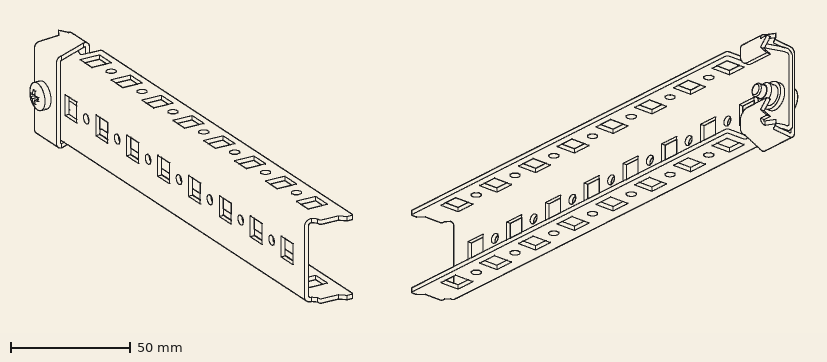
import cadquery as cq


total_length = 227.0
sheet = 2.0
clamp_half_height = 21.1
rail_half_height = clamp_half_height - sheet
rail_depth = 20.5

rail_left = 4.8
rail_web_right = 221.0
rail_bend = 3.2
rail_corner_radius = 1.0
flange_left = 23.2
flange_right = 224.5

hole_pitch = 25.0
square_count = 8
square_size = 9.5
round_diameter = 4.3
first_hole_x = 32.0
flange_hole_y = 12.3

clamp_left = 6.0
clamp_right = 23.8
clamp_bend = 2.5
lip_y = 18.5
lip_bottom = 10.5
lip_left = 4.0
lip_right = 17.0
lip_corner_radius = 4.5
lip_tooth_top = 18.6

screw_x = 13.6
shank_radius = 3.0
shank_end = 13.0
shank_chamfer = 0.7
head_radius = 6.1
head_rim_height = 3.0
head_gap = 0.2
head_height = 5.0
recess_length = 6.1
recess_width = 1.8
recess_depth = 2.7
washer_radius = 6.1
washer_thickness = 2.3
nut_radius = 4.5
nut_height = 3.6
nut_cone_height = 1.4


def bent_channel(left, right, back, front, half_height, bend):
    """C-shaped sheet with its web at Y = front and its flanges reaching Y = back."""
    outer = (
        cq.Workplane("XY")
        .box(right - left, back - front, 2 * half_height, centered=(False, False, True))
        .translate((left, front, 0))
        .edges("|X and <Y")
        .fillet(bend)
    )
    inner = (
        cq.Workplane("XY")
        .box(right - left, back - front, 2 * (half_height - sheet), centered=(False, False, True))
        .translate((left, front + sheet, 0))
        .edges("|X and <Y")
        .fillet(bend - sheet)
    )
    return outer.cut(inner)


def upright_prism(outline, half_height):
    """Outline in X and Y, extruded to both sides of Z = 0."""
    return cq.Workplane("XY").polyline(outline).close().extrude(half_height, both=True)


def disc(radius, start, height):
    """Cylinder around the screw axis that runs from Y = start toward +Y."""
    return cq.Workplane("XZ", origin=(screw_x, start, 0)).circle(radius).extrude(-height)


def rail_outline():
    """Side outline of the rail flanges: a recessed stub under the clamp and a hook at the far end."""
    stub_edge = 4.8
    stub_tip = (8.0, 15.0)
    notch_bottom = 10.2
    foot_chamfer = 1.8
    foot_y = 5.5
    hook_bottom = 14.5
    hook_side = 17.3
    prism = upright_prism(
        [
            (rail_left, 0),
            (rail_web_right, 0),
            (rail_web_right, foot_y - foot_chamfer),
            (rail_web_right + foot_chamfer, foot_y),
            (flange_right, foot_y),
            (flange_right, hook_bottom),
            (total_length, hook_side),
            (total_length, rail_depth),
            (flange_left, rail_depth),
            (flange_left, notch_bottom),
            stub_tip,
            (rail_left, stub_edge),
        ],
        rail_half_height,
    )
    rounded_corners = [
        (flange_right, foot_y),
        (total_length, rail_depth),
        (flange_left, rail_depth),
        (flange_left, notch_bottom),
    ]
    for x, y in rounded_corners:
        corner = cq.selectors.NearestToPointSelector((x, y, 0))
        prism = prism.edges("|Z").edges(corner).fillet(rail_corner_radius)
    return prism


def hole_row(plane, offset, half_length):
    """Cutter for a row of alternating square and round holes along X, normal to the given plane."""
    square_centers = [(first_hole_x + i * hole_pitch, offset) for i in range(square_count)]
    round_centers = [(x + hole_pitch / 2, offset) for x, _ in square_centers[:-1]]
    squares = cq.Workplane(plane).pushPoints(square_centers).rect(square_size, square_size)
    rounds = cq.Workplane(plane).pushPoints(round_centers).circle(round_diameter / 2)
    return squares.extrude(half_length, both=True).add(rounds.extrude(half_length, both=True))


def make_rail():
    rail = bent_channel(rail_left, total_length, rail_depth, 0, rail_half_height, rail_bend)
    rail = rail.intersect(rail_outline())
    web_holes = hole_row("XZ", 0, sheet)
    flange_holes = hole_row("XY", flange_hole_y, rail_half_height)
    for hole in web_holes.solids().vals() + flange_holes.solids().vals():
        rail = rail.cut(cq.Workplane(hole))
    return rail.cut(disc(shank_radius, 0, sheet))


def clamp_outline():
    """Side outline of the clamp: a tooth on the left edge and a slanted right edge."""
    tooth_tip_y = 13.5
    tooth_top_y = 16.0
    tooth_bottom = (4.5, 11.0)
    slant_top_y = 15.5
    slant_bottom_y = 0.5
    return upright_prism(
        [
            (clamp_left, -sheet),
            (clamp_right, -sheet),
            (clamp_right, slant_bottom_y),
            (lip_right, slant_top_y),
            (lip_right, lip_y),
            (lip_left, lip_y),
            (lip_left, tooth_top_y),
            (0, tooth_tip_y),
            tooth_bottom,
            (clamp_left, 0),
        ],
        clamp_half_height,
    )


def lip_outline():
    """Upper lip, with a V notch that leaves two teeth on its left edge."""
    notch_z = (lip_tooth_top + lip_bottom) / 2
    return (
        cq.Workplane("XZ", origin=(0, lip_y, 0))
        .moveTo(lip_left, clamp_half_height)
        .lineTo(lip_left, lip_tooth_top)
        .lineTo(0, lip_tooth_top)
        .lineTo(lip_left, notch_z)
        .lineTo(0, lip_bottom)
        .lineTo(lip_right - lip_corner_radius, lip_bottom)
        .radiusArc((lip_right, lip_bottom + lip_corner_radius), -lip_corner_radius)
        .lineTo(lip_right, clamp_half_height)
        .close()
        .extrude(sheet)
    )


def make_clamp():
    clamp = bent_channel(0, clamp_right, lip_y, -sheet, clamp_half_height, clamp_bend)
    clamp = clamp.intersect(clamp_outline())
    upper_lip = lip_outline()
    clamp = clamp.union(upper_lip).union(upper_lip.mirror("XY"))
    lip_bends = cq.selectors.BoxSelector(
        (lip_left, lip_y - sheet / 2, -2 * clamp_half_height),
        (lip_right, lip_y + sheet / 2, 2 * clamp_half_height),
    )
    clamp = clamp.edges("|X").edges(lip_bends).edges("<Z or >Z").fillet(clamp_bend)
    return clamp.cut(disc(shank_radius, -sheet, sheet))


def make_screw():
    """Pan-head screw with a cross recess; the head stands just clear of the clamp."""
    base_y = -sheet - head_gap
    rim_y = base_y - head_rim_height
    crown_y = base_y - head_height
    crown_height = head_height - head_rim_height
    crown_radius = (head_radius**2 + crown_height**2) / (2 * crown_height)
    head_profile = (
        cq.Workplane("XY", origin=(screw_x, 0, 0))
        .moveTo(0, base_y)
        .lineTo(head_radius, base_y)
        .lineTo(head_radius, rim_y)
        .radiusArc((0, crown_y), crown_radius)
        .close()
    )
    head = head_profile.revolve(360, (0, 0, 0), (0, 1, 0))
    shank = disc(shank_radius, base_y, shank_end - base_y).faces(">Y").chamfer(shank_chamfer)
    screw = head.union(shank)
    for arm_size in [(recess_length, recess_width), (recess_width, recess_length)]:
        arm = cq.Workplane("XZ", origin=(screw_x, crown_y, 0)).rect(*arm_size).extrude(-recess_depth)
        screw = screw.cut(arm)
    return screw


def make_washer():
    washer = disc(washer_radius, sheet, washer_thickness)
    return washer.cut(disc(shank_radius, sheet, washer_thickness))


def make_nut():
    """Round nut whose far end tapers down to the shank."""
    base = sheet + washer_thickness
    full_height = nut_height + nut_cone_height
    nut = disc(nut_radius, base, full_height).faces(">Y").chamfer(nut_cone_height)
    return nut.cut(disc(shank_radius, base, full_height))


rail = make_rail()
clamp = make_clamp()
screw = make_screw()
washer = make_washer()
nut = make_nut()

result = cq.Compound.makeCompound([rail.val(), clamp.val(), screw.val(), washer.val(), nut.val()])